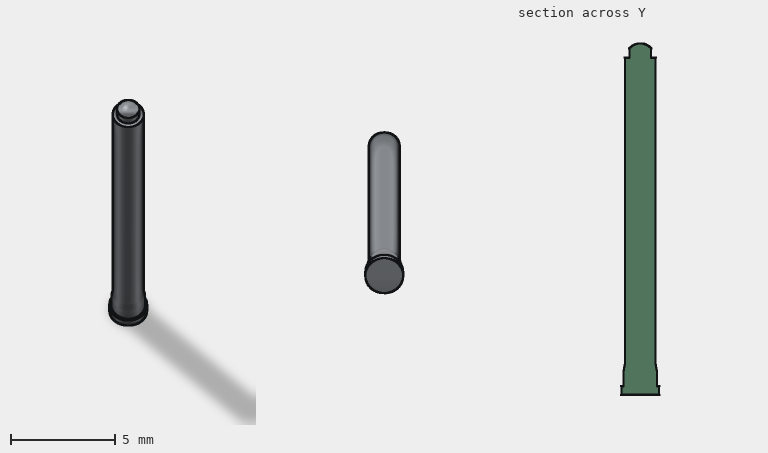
import cadquery as cq
import math

flange_diameter = 1.83
collar_diameter = 1.63
barrel_diameter = 1.5
plunger_diameter = 1.07

flange_top = 0.42
collar_top = 1.12
taper_top = 1.5
barrel_top = 16.2
overall_height = 16.9

dome_height = 0.25


def cylinder(diameter, bottom, top):
    """Upright cylinder on the Z axis between two heights."""
    return cq.Workplane("XY").workplane(offset=bottom).circle(diameter / 2).extrude(top - bottom)


def taper(lower_diameter, upper_diameter, bottom, top):
    """Cone frustum on the Z axis between two heights."""
    return (
        cq.Workplane("XY")
        .workplane(offset=bottom)
        .circle(lower_diameter / 2)
        .workplane(offset=top - bottom)
        .circle(upper_diameter / 2)
        .loft(ruled=True)
    )


def domed_plunger(diameter, bottom, top, dome):
    """Pin whose upper end is a shallow spherical cap."""
    radius = diameter / 2
    shoulder = top - dome
    sphere_radius = (radius**2 + dome**2) / (2 * dome)
    sphere_center = top - sphere_radius
    arc_mid_x = radius / 2
    arc_mid_z = sphere_center + math.sqrt(sphere_radius**2 - arc_mid_x**2)
    return (
        cq.Workplane("XZ")
        .moveTo(0, bottom)
        .lineTo(radius, bottom)
        .lineTo(radius, shoulder)
        .threePointArc((arc_mid_x, arc_mid_z), (0, top))
        .close()
        .revolve(360, (0, 0, 0), (0, 1, 0))
    )


flange = cylinder(flange_diameter, 0, flange_top)
collar = cylinder(collar_diameter, flange_top, collar_top)
collar_taper = taper(collar_diameter, barrel_diameter, collar_top, taper_top)
barrel = cylinder(barrel_diameter, taper_top, barrel_top)
plunger = domed_plunger(plunger_diameter, barrel_top, overall_height, dome_height)

result = flange.union(collar).union(collar_taper).union(barrel).union(plunger)